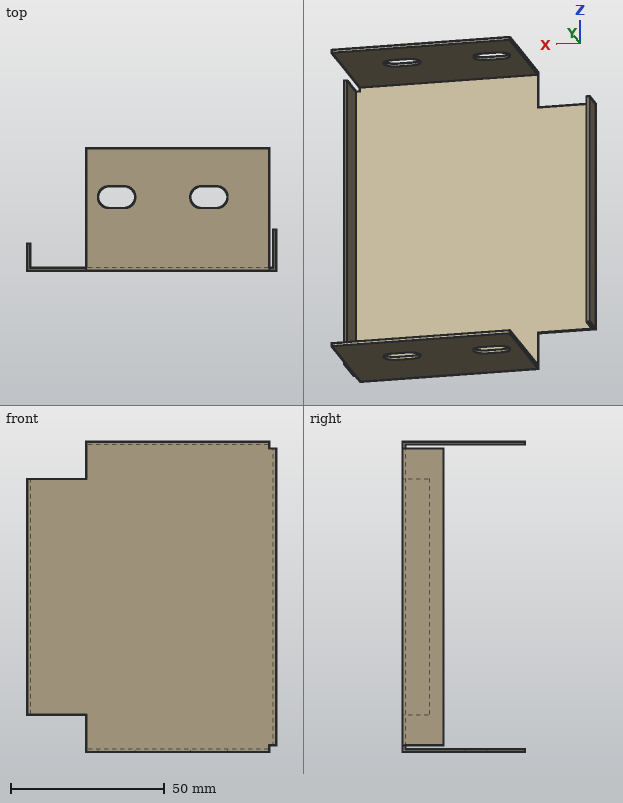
import cadquery as cq

height = 101.0
width = 81.0
depth = 39.9
sheet = 1.0

tab_length = 19.2
tab_inset = 12.1
corner_relief = 2.2

left_flange_depth = 8.9
right_flange_depth = 13.4

slot_length = 12.0
slot_width = 7.0
slot_spacing = 30.0
first_slot_x = 29.1
slot_y = 23.9

flange_length = width - tab_length - corner_relief
tab_height = height - 2 * tab_inset
right_flange_height = height - 2 * corner_relief


def block(x, z, length, block_depth, block_height):
    """Box with its front face on Y = 0 and its lower left corner at (x, z)."""
    box = cq.Workplane("XY").box(length, block_depth, block_height, centered=False)
    return box.translate((x, 0, z))


middle = block(tab_length, 0, flange_length, sheet, height)
left_tab = block(0, tab_inset, tab_length, sheet, tab_height)
right_strip = block(width - corner_relief, corner_relief, corner_relief, sheet, right_flange_height)
body = middle.union(left_tab).union(right_strip)

body = body.union(block(0, tab_inset, sheet, left_flange_depth, tab_height))
body = body.union(block(width - sheet, corner_relief, sheet, right_flange_depth, right_flange_height))
for flange_z in (0, height - sheet):
    body = body.union(block(tab_length, flange_z, flange_length, depth, sheet))

slot_centers = [(first_slot_x, slot_y), (first_slot_x + slot_spacing, slot_y)]
slots = cq.Workplane("XY").pushPoints(slot_centers).slot2D(slot_length, slot_width).extrude(height)

result = body.cut(slots)